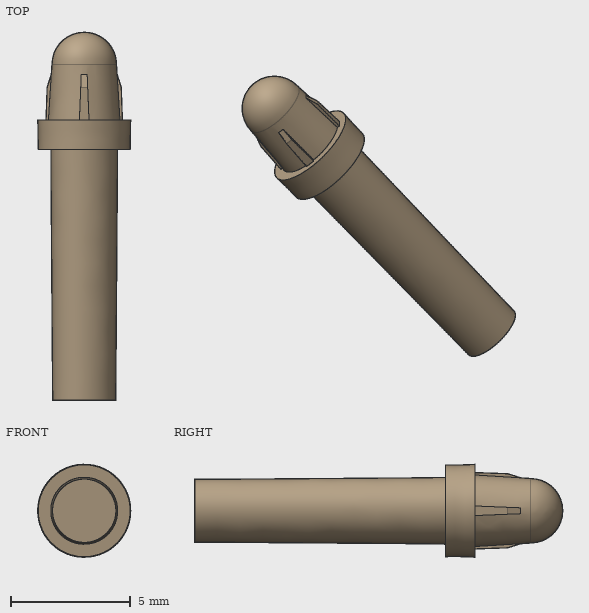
import cadquery as cq

total_length = 15.35
dome_radius = 1.35
head_length = 3.65
collar_length = 1.25

collar_front = total_length - head_length
collar_back = collar_front - collar_length
dome_start = total_length - dome_radius

shaft_end_radius = 1.32
shaft_root_radius = 1.4
collar_back_radius = 1.92
collar_front_radius = 1.942
head_root_radius = 1.5

rib_count = 4
rib_tip = total_length - 1.77
rib_knee = total_length - 2.3
rib_knee_radius = 1.55
rib_root_radius = 1.6
rib_tip_width = 0.25
rib_root_width = 0.4
rib_inner_radius = 1.07


def make_body():
    """Shaft, collar and domed head as one revolved solid."""
    dome_mid = dome_radius * 0.5 ** 0.5
    return (
        cq.Workplane("XY")
        .lineTo(shaft_end_radius, 0)
        .lineTo(shaft_root_radius, collar_back)
        .lineTo(collar_back_radius, collar_back)
        .lineTo(collar_front_radius, collar_front)
        .lineTo(head_root_radius, collar_front)
        .lineTo(dome_radius, dome_start)
        .threePointArc((dome_mid, dome_start + dome_mid), (0, total_length))
        .close()
        .revolve(360, (0, 0), (0, 1))
    )


def make_rib():
    """One rib on the +X side: a ramped side profile trimmed to a tapered width."""
    head_slope = (head_root_radius - dome_radius) / (dome_start - collar_front)
    rib_tip_radius = dome_radius + head_slope * (dome_start - rib_tip)
    profile = (
        cq.Workplane("XY")
        .polyline([
            (rib_inner_radius, collar_front),
            (rib_root_radius, collar_front),
            (rib_knee_radius, rib_knee),
            (rib_tip_radius, rib_tip),
            (rib_inner_radius, rib_tip),
        ])
        .close()
        .extrude(rib_root_width / 2, both=True)
    )
    taper = (
        cq.Workplane("YZ")
        .polyline([
            (collar_front, -rib_root_width / 2),
            (rib_tip, -rib_tip_width / 2),
            (rib_tip, rib_tip_width / 2),
            (collar_front, rib_root_width / 2),
        ])
        .close()
        .extrude(rib_root_radius)
    )
    return profile.intersect(taper)


result = make_body()
rib = make_rib()
for index in range(rib_count):
    angle = index * 360 / rib_count
    result = result.union(rib.rotate((0, 0, 0), (0, 1, 0), angle))